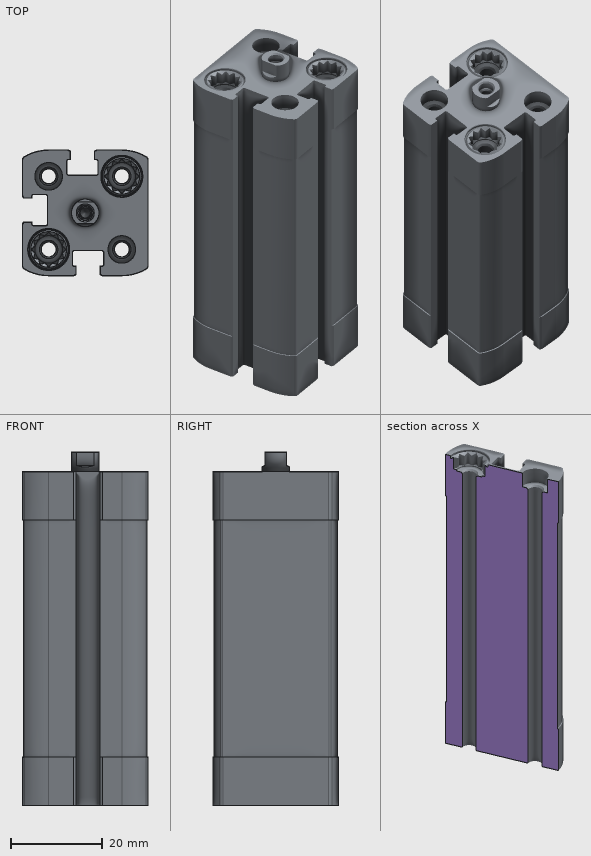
import cadquery as cq
import math

SIDE = 27.5
TOTAL_LENGTH = 77.3
ROD_REACH = 4.25
HOUSING_LENGTH = TOTAL_LENGTH - ROD_REACH
CAP_LENGTH = 10.6
BARREL_INSET = 0.2

CORNER_PITCH = 16.0
CORNER_ARC_RADIUS = 10.4
CAP_EDGE_FILLET = 0.9
BARREL_EDGE_FILLET = 0.55

SLOT_OPENING = 5.25
SLOT_INNER_WIDTH = 6.8
SLOT_FLOOR = 8.3
SLOT_LIP_THICKNESS = 2.1
SLOT_CORNER_RADIUS = 0.4
SLOT_OFFSET = 0.6
LIP_CHAMFER_WIDTH = 0.55

THROUGH_DIAMETER = 3.25
COUNTERSINK_DIAMETER = 4.0
COUNTERBORE_DIAMETER = 6.0
COUNTERBORE_DEPTH = 3.5

RIM_DIAMETER = 9.2
GROOVE_OUTER_DIAMETER = 9.0
GROOVE_INNER_DIAMETER = 8.5
GROOVE_DEPTH = 0.6
CREST_DIAMETER = 7.8
CREST_DEPTH = 0.2
TOOTH_COUNT = 12
TOOTH_ROOT_DIAMETER = 7.6
TOOTH_TIP_DIAMETER = 6.2
TOOTH_LEAD_IN_DEPTH = 0.8
TOOTH_END_DEPTH = 3.2

ROD_DIAMETER = 6.0
ROD_INSERTION = CAP_LENGTH
FLAT_WIDTH = 4.7
FLAT_LENGTH = 2.85
SHOULDER_DROP = 0.4
ROD_COUNTERSINK_DIAMETER = 3.95
ROD_BORE_DIAMETER = 3.3
ROD_BORE_DEPTH = 1.85
ROD_DRILL_DIAMETER = 2.25
ROD_DRILL_DEPTH = 6.0
DRILL_COUNTERSINK_DIAMETER = 2.8
DRILL_POINT_ANGLE = 118


def revolved(profile):
    """Solid of revolution about Z from (radius, height) points."""
    return cq.Workplane("XZ").polyline(profile).close().revolve(360, (0, 0), (0, 1))


def skin(inset, edge_fillet, bottom, length):
    """Prism with four large corner arcs, lying `inset` inside the cap outline."""
    half = SIDE / 2 - inset
    arc_x = CORNER_PITCH / 2
    arc_y = SIDE / 2 - CORNER_ARC_RADIUS
    radius = CORNER_ARC_RADIUS - inset
    end_angle = math.acos((half - arc_x) / radius)
    mid_angle = (end_angle + math.pi / 2) / 2
    end_y = arc_y + radius * math.sin(end_angle)
    mid_x = arc_x + radius * math.cos(mid_angle)
    mid_y = arc_y + radius * math.sin(mid_angle)
    prism = (
        cq.Workplane("XY", origin=(0, 0, bottom))
        .moveTo(-arc_x, half)
        .lineTo(arc_x, half)
        .threePointArc((mid_x, mid_y), (half, end_y))
        .lineTo(half, -end_y)
        .threePointArc((mid_x, -mid_y), (arc_x, -half))
        .lineTo(-arc_x, -half)
        .threePointArc((-mid_x, -mid_y), (-half, -end_y))
        .lineTo(-half, end_y)
        .threePointArc((-mid_x, mid_y), (-arc_x, half))
        .close()
        .extrude(length)
    )
    return prism.faces("<X or >X").edges("|Z").fillet(edge_fillet)


def slot_cutter(offset, turn):
    """T-slot along Z on the +Y side, moved by `offset` in X and then turned about Z."""
    face = SIDE / 2
    lip_inside = face - SLOT_LIP_THICKNESS
    right_side = [
        (SLOT_INNER_WIDTH / 2, SLOT_FLOOR),
        (SLOT_INNER_WIDTH / 2, lip_inside),
        (SLOT_OPENING / 2, lip_inside),
        (SLOT_OPENING / 2, face - BARREL_INSET),
        (SLOT_OPENING / 2 + LIP_CHAMFER_WIDTH, face),
    ]
    left_side = [(-x, y) for x, y in reversed(right_side)]
    slot = cq.Workplane("XY").polyline(right_side + left_side).close().extrude(HOUSING_LENGTH)
    widest_sides = slot.faces("<X or >X")
    slot = widest_sides.edges("|Z").fillet(SLOT_CORNER_RADIUS)
    return slot.translate((offset, 0, 0)).rotate((0, 0, 0), (0, 0, 1), turn)


def corner_hole_cutter():
    """Counterbored through hole on the Z axis, with its mouth at the housing top."""
    bore = COUNTERBORE_DIAMETER / 2
    sink = COUNTERSINK_DIAMETER / 2
    through = THROUGH_DIAMETER / 2
    floor = HOUSING_LENGTH - COUNTERBORE_DEPTH
    return revolved([
        (0, 0),
        (through, 0),
        (through, floor - (sink - through)),
        (sink, floor),
        (bore, floor),
        (bore, HOUSING_LENGTH),
        (0, HOUSING_LENGTH),
    ])


def spline_cutter():
    """Zigzag tooth spaces, bounded above by a lead-in cone."""
    points = []
    for i in range(TOOTH_COUNT):
        root_angle = 2 * math.pi * i / TOOTH_COUNT
        tip_angle = root_angle + math.pi / TOOTH_COUNT
        for diameter, angle in ((TOOTH_ROOT_DIAMETER, root_angle), (TOOTH_TIP_DIAMETER, tip_angle)):
            points.append((diameter / 2 * math.cos(angle), diameter / 2 * math.sin(angle)))
    return (
        cq.Workplane("XY", origin=(0, 0, HOUSING_LENGTH - TOOTH_END_DEPTH))
        .polyline(points)
        .close()
        .extrude(TOOTH_END_DEPTH)
    )


def socket_mouth_cutter():
    """Everything above the teeth: lead-in cone, sloped ring, flat groove and bevelled rim."""
    top = HOUSING_LENGTH
    rim_bevel = (RIM_DIAMETER - GROOVE_OUTER_DIAMETER) / 2
    return revolved([
        (0, top - TOOTH_LEAD_IN_DEPTH),
        (TOOTH_TIP_DIAMETER / 2, top - TOOTH_LEAD_IN_DEPTH),
        (CREST_DIAMETER / 2, top - CREST_DEPTH),
        (GROOVE_INNER_DIAMETER / 2, top - GROOVE_DEPTH),
        (GROOVE_OUTER_DIAMETER / 2, top - GROOVE_DEPTH),
        (GROOVE_OUTER_DIAMETER / 2, top - rim_bevel),
        (RIM_DIAMETER / 2, top),
        (0, top),
    ])


def make_housing():
    """Square barrel with a slightly larger cap at each end, slots, holes and rod hole."""
    barrel_length = HOUSING_LENGTH - 2 * CAP_LENGTH
    housing = (
        skin(BARREL_INSET, BARREL_EDGE_FILLET, CAP_LENGTH, barrel_length)
        .union(skin(0, CAP_EDGE_FILLET, 0, CAP_LENGTH))
        .union(skin(0, CAP_EDGE_FILLET, HOUSING_LENGTH - CAP_LENGTH, CAP_LENGTH))
    )

    for offset, turn in ((-SLOT_OFFSET, 0), (SLOT_OFFSET, 90), (-SLOT_OFFSET, 180)):
        housing = housing.cut(slot_cutter(offset, turn))

    for sign_x in (-1, 1):
        for sign_y in (-1, 1):
            corner = (sign_x * CORNER_PITCH / 2, sign_y * CORNER_PITCH / 2, 0)
            housing = housing.cut(corner_hole_cutter().translate(corner))
            if sign_x == sign_y:
                housing = housing.cut(spline_cutter().translate(corner))
                housing = housing.cut(socket_mouth_cutter().translate(corner))

    rod_hole = (
        cq.Workplane("XY", origin=(0, 0, HOUSING_LENGTH - ROD_INSERTION))
        .circle(ROD_DIAMETER / 2)
        .extrude(ROD_INSERTION)
    )
    return housing.cut(rod_hole)


def flat_cutter():
    """Removes the +Y wrench flat, leaving a shoulder that slopes down and outward."""
    flat = FLAT_WIDTH / 2
    outside = ROD_DIAMETER / 2
    shoulder = TOTAL_LENGTH - FLAT_LENGTH
    return (
        cq.Workplane("YZ")
        .polyline([
            (flat, TOTAL_LENGTH),
            (flat, shoulder),
            (outside, shoulder - SHOULDER_DROP),
            (outside, TOTAL_LENGTH),
        ])
        .close()
        .extrude(ROD_DIAMETER / 2, both=True)
    )


def rod_bore_cutter():
    """Countersunk stepped hole with a drill point, from the rod end down."""
    sink = ROD_COUNTERSINK_DIAMETER / 2
    bore = ROD_BORE_DIAMETER / 2
    drill = ROD_DRILL_DIAMETER / 2
    drill_sink = DRILL_COUNTERSINK_DIAMETER / 2
    point_length = drill / math.tan(math.radians(DRILL_POINT_ANGLE / 2))
    ledge = TOTAL_LENGTH - ROD_BORE_DEPTH
    drill_end = TOTAL_LENGTH - ROD_DRILL_DEPTH
    return revolved([
        (0, drill_end - point_length),
        (drill, drill_end),
        (drill, ledge - (drill_sink - drill)),
        (drill_sink, ledge),
        (bore, ledge),
        (bore, TOTAL_LENGTH - (sink - bore)),
        (sink, TOTAL_LENGTH),
        (0, TOTAL_LENGTH),
    ])


def make_rod():
    """Round rod with two wrench flats and a hole in its end."""
    length = ROD_REACH + ROD_INSERTION
    rod = (
        cq.Workplane("XY", origin=(0, 0, TOTAL_LENGTH - length))
        .circle(ROD_DIAMETER / 2)
        .extrude(length)
    )
    for turn in (0, 180):
        rod = rod.cut(flat_cutter().rotate((0, 0, 0), (0, 0, 1), turn))
    return rod.cut(rod_bore_cutter())


housing = make_housing()
rod = make_rod()

result = cq.Compound.makeCompound([housing.val(), rod.val()])